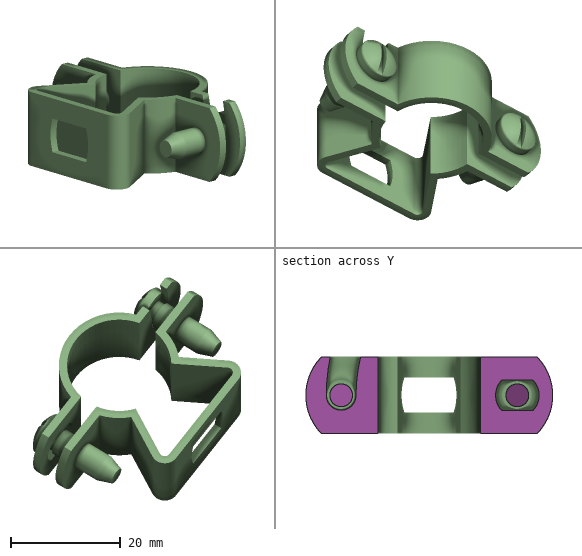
import cadquery as cq
import math


sheet = 1.5
seat_radius = 9.5
ring_radius = seat_radius + sheet
strap_height = 14.0

half_length = 22.5
flange_end_radius = 10.0
upper_flange_bottom = 2.0
upper_flange_top = upper_flange_bottom + sheet
lower_flange_top = -1.5
lower_flange_bottom = lower_flange_top - sheet

foot_bottom = -19.5
foot_half_width = 10.0
bend_inner_radius = 1.0
bend_outer_radius = bend_inner_radius + sheet
leg_angle = math.radians(60)
window_width = 10.0
window_height = 6.4
window_side_radius = 10.0

screw_x = 16.0
shank_radius = 2.5
neck_radius = 2.1
head_radius = 4.0
head_rim_height = 1.7
dome_height = 1.5
head_edge_radius = 0.35
neck_fillet_radius = 0.2
driver_slot_width = 1.15
driver_slot_depth = 1.5
taper_start = -7.7
tip_y = -10.5
tip_radius = 1.58

swing_slot_radius = 2.65
pivot_hole_radius = 3.9
pivot_hole_height = 5.4


def on_circle(radius, y):
    """Distance from the centre line at which a circle reaches height y."""
    return math.sqrt(radius**2 - y**2)


def extrude_in_z(profile):
    """Extrude an XY profile symmetrically about Z = 0 over the strap height."""
    return profile.extrude(strap_height / 2, both=True)


def y_cylinder(x, radius, y_low, y_high):
    """Solid cylinder along Y."""
    base = cq.Workplane("XZ", origin=(x, y_low, 0))
    return base.circle(radius).extrude(-(y_high - y_low))


def round_ends(strap):
    """Trim both flange ends to an arc, seen along Y."""
    arc_centre = half_length - flange_end_radius
    corner_z = strap_height / 2
    corner_x = arc_centre + on_circle(flange_end_radius, corner_z)
    envelope = (
        cq.Workplane("XZ")
        .moveTo(-corner_x, -corner_z)
        .lineTo(corner_x, -corner_z)
        .threePointArc((half_length, 0), (corner_x, corner_z))
        .lineTo(-corner_x, corner_z)
        .threePointArc((-half_length, 0), (-corner_x, -corner_z))
        .close()
        .extrude(2 * half_length, both=True)
    )
    return strap.intersect(envelope)


def make_bowed_opening(x, y_low, width, height, side_radius):
    """Cutter one sheet thick along Y, with flat top and bottom and outward-bowed sides."""
    side_z = height / 2
    side_x = width / 2
    corner_x = side_x - (side_radius - on_circle(side_radius, side_z))
    return (
        cq.Workplane("XZ", origin=(x, y_low, 0))
        .moveTo(-corner_x, -side_z)
        .lineTo(corner_x, -side_z)
        .threePointArc((side_x, 0), (corner_x, side_z))
        .lineTo(-corner_x, side_z)
        .threePointArc((-side_x, 0), (-corner_x, -side_z))
        .close()
        .extrude(-sheet)
    )


def make_swing_slot():
    """Open slot in the right flange, curved about the left screw so the strap can swing shut."""
    screw_spacing = 2 * screw_x
    sweep = y_cylinder(-screw_x, screw_spacing + swing_slot_radius, upper_flange_bottom, upper_flange_top)
    core = y_cylinder(-screw_x, screw_spacing - swing_slot_radius, upper_flange_bottom, upper_flange_top)
    open_side = cq.Workplane("XY").box(
        half_length, ring_radius, strap_height, centered=(False, False, False)
    )
    slot_end = y_cylinder(screw_x, swing_slot_radius, upper_flange_bottom, upper_flange_top)
    return sweep.cut(core).intersect(open_side).union(slot_end)


def make_upper_strap():
    """Half ring with two flanges: a pivot hole on the left, a slot on the right."""
    inner_x = on_circle(seat_radius, upper_flange_bottom)
    outer_x = on_circle(ring_radius, upper_flange_top)
    profile = (
        cq.Workplane("XY")
        .moveTo(-half_length, upper_flange_bottom)
        .lineTo(-inner_x, upper_flange_bottom)
        .threePointArc((0, seat_radius), (inner_x, upper_flange_bottom))
        .lineTo(half_length, upper_flange_bottom)
        .lineTo(half_length, upper_flange_top)
        .lineTo(outer_x, upper_flange_top)
        .threePointArc((0, ring_radius), (-outer_x, upper_flange_top))
        .lineTo(-half_length, upper_flange_top)
        .close()
    )
    strap = round_ends(extrude_in_z(profile))
    pivot_hole = make_bowed_opening(
        -screw_x, upper_flange_bottom, 2 * pivot_hole_radius, pivot_hole_height, pivot_hole_radius
    )
    return strap.cut(pivot_hole).cut(make_swing_slot())


def bend_point(radius, angle):
    """Point on the right-hand foot bend at the given radius and angle."""
    centre_y = foot_bottom + bend_outer_radius
    return (foot_half_width + radius * math.cos(angle), centre_y + radius * math.sin(angle))


def leg_meets_circle(leg_foot, radius):
    """Point where the right-hand leg, rising inward from leg_foot, first meets the circle."""
    step_x = -math.cos(leg_angle)
    step_y = math.sin(leg_angle)
    along = -(leg_foot[0] * step_x + leg_foot[1] * step_y)
    offset = leg_foot[0] * step_y - leg_foot[1] * step_x
    length = along - math.sqrt(radius**2 - offset**2)
    return (leg_foot[0] + length * step_x, leg_foot[1] + length * step_y)


def arc_middle(start, end, radius):
    """Point halfway along an origin-centred arc."""
    angle = (math.atan2(start[1], start[0]) + math.atan2(end[1], end[0])) / 2
    return (radius * math.cos(angle), radius * math.sin(angle))


def make_lower_strap():
    """Two flanges, two seat arcs and a flared foot, bent from one strip."""
    bend_end = math.pi / 2 - leg_angle
    bend_start = -math.pi / 2
    bend_mid = (bend_start + bend_end) / 2

    outer_leg_foot = bend_point(bend_outer_radius, bend_end)
    inner_leg_foot = bend_point(bend_inner_radius, bend_end)
    outer_leg_top = leg_meets_circle(outer_leg_foot, ring_radius)
    inner_leg_top = leg_meets_circle(inner_leg_foot, seat_radius)
    outer_seat_end = (on_circle(ring_radius, lower_flange_bottom), lower_flange_bottom)
    inner_seat_end = (on_circle(seat_radius, lower_flange_top), lower_flange_top)

    right_half = (
        cq.Workplane("XY")
        .moveTo(0, foot_bottom)
        .lineTo(foot_half_width, foot_bottom)
        .threePointArc(bend_point(bend_outer_radius, bend_mid), outer_leg_foot)
        .lineTo(*outer_leg_top)
        .threePointArc(arc_middle(outer_leg_top, outer_seat_end, ring_radius), outer_seat_end)
        .lineTo(half_length, lower_flange_bottom)
        .lineTo(half_length, lower_flange_top)
        .lineTo(*inner_seat_end)
        .threePointArc(arc_middle(inner_seat_end, inner_leg_top, seat_radius), inner_leg_top)
        .lineTo(*inner_leg_foot)
        .threePointArc(bend_point(bend_inner_radius, bend_mid), bend_point(bend_inner_radius, bend_start))
        .lineTo(0, foot_bottom + sheet)
        .close()
    )
    half_strap = extrude_in_z(right_half)
    strap = round_ends(half_strap.union(half_strap.mirror("YZ")))
    for side in (-1, 1):
        strap = strap.cut(y_cylinder(side * screw_x, shank_radius, lower_flange_bottom, lower_flange_top))
    foot_window = make_bowed_opening(0, foot_bottom, window_width, window_height, window_side_radius)
    return strap.cut(foot_window)


def make_screw(x):
    """Slotted dome-head screw with a reduced neck and a tapered tip."""
    rim_y = upper_flange_top + head_rim_height
    top_y = rim_y + dome_height
    dome_radius = (head_radius**2 + dome_height**2) / (2 * dome_height)
    dome_mid_x = head_radius / 2
    dome_mid_y = top_y - dome_radius + on_circle(dome_radius, dome_mid_x)
    screw = (
        cq.Workplane("XY")
        .moveTo(0, tip_y)
        .lineTo(tip_radius, tip_y)
        .lineTo(shank_radius, taper_start)
        .lineTo(shank_radius, upper_flange_bottom)
        .lineTo(neck_radius, upper_flange_bottom)
        .lineTo(neck_radius, upper_flange_top - neck_fillet_radius)
        .radiusArc((neck_radius + neck_fillet_radius, upper_flange_top), neck_fillet_radius)
        .lineTo(head_radius, upper_flange_top)
        .lineTo(head_radius, rim_y)
        .threePointArc((dome_mid_x, dome_mid_y), (0, top_y))
        .close()
        .revolve(360, (0, 0, 0), (0, 1, 0))
    )
    rim_edge = cq.selectors.NearestToPointSelector((0, rim_y, 0))
    screw = screw.edges(rim_edge).fillet(head_edge_radius)
    driver_slot = cq.Workplane("XY", origin=(0, top_y - driver_slot_depth, 0)).box(
        driver_slot_width, driver_slot_depth, 2 * head_radius, centered=(True, False, True)
    )
    return screw.cut(driver_slot).translate((x, 0, 0))


upper_strap = make_upper_strap()
lower_strap = make_lower_strap()
screws = [make_screw(side * screw_x) for side in (-1, 1)]

result = cq.Compound.makeCompound(
    [upper_strap.val(), lower_strap.val(), *[screw.val() for screw in screws]]
)